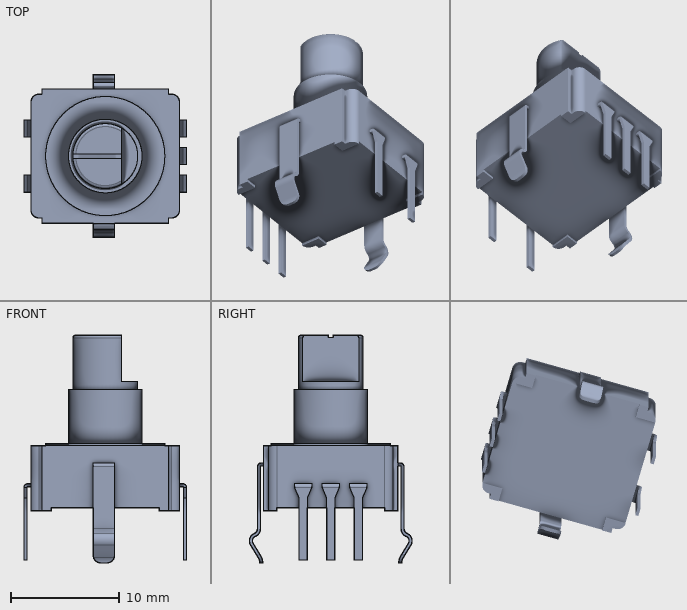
import math

import cadquery as cq

total_height = 21.03
lead_span = 15.02

housing_x = 13.73
housing_y = 11.45
housing_corner = 0.75
shell_x = 11.7
shell_y = 12.4
housing_top = 10.83
housing_bottom = 5.09
foot_bottom = 4.82
foot_spacing = 9.95

disc_diameter = 11.0
disc_top = 11.02
bushing_diameter = 6.8
bushing_top = 16.02
shaft_diameter = 6.0
shaft_rounding = 0.27
flat_offset = 1.51
flat_bottom = 16.76
slot_width = 0.42
slot_depth = 0.2

sheet = 0.3
bend_outer = 0.34
bend = bend_outer - sheet / 2
lead_root = 5.25

pin_top = 7.32
pin_bottom = 0.27
pin_width = 0.78
pin_head_width = 1.6
pin_head_bottom = pin_top - bend_outer
pin_taper_bottom = 6.01
pin_pitch = 2.55

clip_top = 9.23
clip_width = 2.0
clip_offset = -0.13
clip_reach = 6.62
clip_elbow_z = 2.78
clip_elbow_bend = 0.63
clip_peak = (7.61, 2.3)
clip_peak_bend = 0.59
clip_tip = (6.41, 0.32)
clip_tip_bend = 1.05
clip_tip_rounding = 0.74


def unit(start, end):
    """Unit direction from one point to another."""
    length = math.dist(start, end)
    return ((end[0] - start[0]) / length, (end[1] - start[1]) / length)


def bent_strip(start, corners, end, width):
    """Sheet strip in the XZ plane, following corners given as (point, centreline bend radius)."""
    points = [start] + [point for point, _ in corners] + [end]
    path = cq.Workplane("XZ").moveTo(*start)
    for before, (corner, radius), after in zip(points, corners, points[2:]):
        back = unit(corner, before)
        ahead = unit(corner, after)
        half_angle = math.acos(back[0] * ahead[0] + back[1] * ahead[1]) / 2
        tangent = radius / math.tan(half_angle)
        arc_gap = radius / math.sin(half_angle) - radius
        inward = unit((0, 0), (back[0] + ahead[0], back[1] + ahead[1]))
        path = path.lineTo(corner[0] + tangent * back[0], corner[1] + tangent * back[1])
        path = path.threePointArc(
            (corner[0] + arc_gap * inward[0], corner[1] + arc_gap * inward[1]),
            (corner[0] + tangent * ahead[0], corner[1] + tangent * ahead[1]),
        )
    path = path.lineTo(*end)
    section = cq.Workplane("YZ", origin=(start[0], 0, start[1])).rect(width, sheet)
    return section.sweep(path)


def make_housing():
    core = (
        cq.Workplane("XY", origin=(0, 0, foot_bottom))
        .rect(housing_x, housing_y)
        .extrude(housing_top - foot_bottom)
        .edges("|Z")
        .fillet(housing_corner)
    )
    shell = (
        cq.Workplane("XY", origin=(0, 0, foot_bottom))
        .rect(shell_x, shell_y)
        .extrude(housing_top - foot_bottom)
    )
    recess = cq.Workplane("XY", origin=(0, 0, foot_bottom))
    recess_depth = housing_bottom - foot_bottom
    recess_along_x = recess.rect(lead_span, foot_spacing).extrude(recess_depth)
    recess_along_y = recess.rect(foot_spacing, lead_span).extrude(recess_depth)
    return core.union(shell).cut(recess_along_x).cut(recess_along_y)


def make_bushing():
    disc = (
        cq.Workplane("XY", origin=(0, 0, housing_bottom))
        .circle(disc_diameter / 2)
        .extrude(disc_top - housing_bottom)
    )
    bushing = (
        cq.Workplane("XY", origin=(0, 0, housing_bottom))
        .circle(bushing_diameter / 2)
        .extrude(bushing_top - housing_bottom)
    )
    return disc.union(bushing)


def make_shaft():
    shaft = (
        cq.Workplane("XY", origin=(0, 0, housing_bottom))
        .circle(shaft_diameter / 2)
        .extrude(total_height - housing_bottom)
        .faces(">Z")
        .edges()
        .fillet(shaft_rounding)
    )
    flat = (
        cq.Workplane("XY", origin=(flat_offset, 0, flat_bottom))
        .box(shaft_diameter, shaft_diameter, total_height - flat_bottom, centered=(False, True, False))
    )
    slot = (
        cq.Workplane("XY", origin=(0, 0, total_height - slot_depth))
        .box(shaft_diameter, slot_width, slot_depth, centered=(True, True, False))
    )
    return shaft.cut(flat).cut(slot)


def make_pin():
    """Pin on the +X side, centred on Y = 0."""
    leg_x = (lead_span - sheet) / 2
    arm_z = pin_top - sheet / 2
    strip = bent_strip((lead_root, arm_z), [((leg_x, arm_z), bend)], (leg_x, pin_bottom), pin_head_width)
    right_side = [
        (pin_head_width / 2, pin_top),
        (pin_head_width / 2, pin_head_bottom),
        (pin_width / 2, pin_taper_bottom),
        (pin_width / 2, pin_bottom),
    ]
    left_side = [(-y, z) for y, z in reversed(right_side)]
    outline = cq.Workplane("YZ").polyline(right_side + left_side).close().extrude(lead_span)
    return strip.intersect(outline)


def make_clip():
    """Snap-in clip modelled on the +X side, centred on Y = 0."""
    arm_z = clip_top - sheet / 2
    corners = [
        ((clip_reach, arm_z), bend),
        ((clip_reach, clip_elbow_z), clip_elbow_bend),
        (clip_peak, clip_peak_bend),
        (clip_tip, clip_tip_bend),
    ]
    strip = bent_strip((lead_root, arm_z), corners, (clip_tip[0], 0), clip_width)
    outline = (
        cq.Workplane("XY")
        .box(lead_span, clip_width, clip_top, centered=(False, True, False))
        .edges("|X and <Z")
        .fillet(clip_tip_rounding)
    )
    return strip.intersect(outline)


def turned(lead, angle):
    return lead.rotate((0, 0, 0), (0, 0, 1), angle)


result = make_housing().union(make_bushing()).union(make_shaft())

pin = make_pin()
for y in (-pin_pitch, 0, pin_pitch):
    result = result.union(pin.translate((0, y, 0)))
for y in (-pin_pitch, pin_pitch):
    result = result.union(turned(pin, 180).translate((0, y, 0)))

clip = make_clip()
for angle in (90, -90):
    result = result.union(turned(clip, angle).translate((clip_offset, 0, 0)))